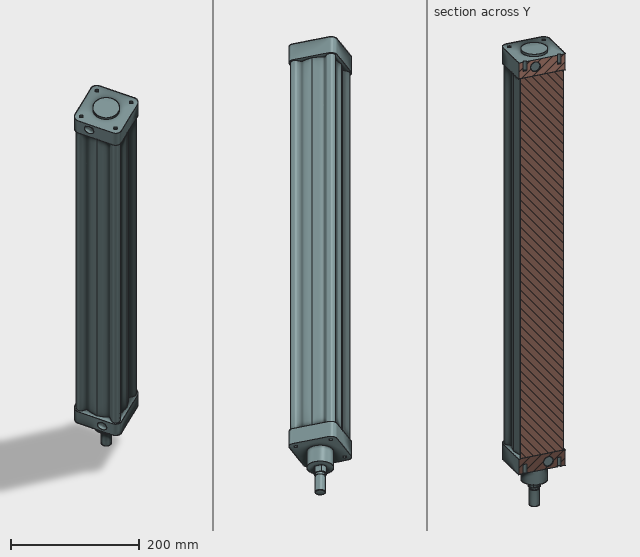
import cadquery as cq
import math


rod_shoulder = 33.0
front_boss_bottom = 44.0
front_cap_bottom = 73.0
front_cap_top = 100.0
rear_cap_bottom = 758.5
rear_cap_top = 787.0
total_length = 791.0

cap_width = 80.0
cap_corner_radius = 10.0
boss_diameter = 42.0
bolt_offset = 29.0
bolt_hole_diameter = 5.5
bolt_hole_depth = 16.0
port_diameter = 16.0
port_depth = 12.0
port_offset = 11.0
rear_port_level = 774.0
front_port_level = 85.5

web_radius = 7.3
web_offset = 30.0
ridge_half_width = 9.0
ridge_foot_height = 33.0
ridge_rise = 2.0
side_half_width = 19.0
side_arc_radius = 24.5
web_fillet = 2.0

rod_diameter = 20.0
wrench_width = 17.0
thread_diameter = 17.0
thread_chamfer = 1.0
neck_diameter = thread_diameter - 2 * thread_chamfer
neck_length = 4.0


def cylinder(diameter, bottom, top):
    return cq.Workplane("XY", origin=(0, 0, bottom)).circle(diameter / 2).extrude(top - bottom)


def at_square_corners(offset, level):
    """Put the four corners of a centred square on the stack."""
    plane = cq.Workplane("XY", origin=(0, 0, level))
    return plane.rect(2 * offset, 2 * offset, forConstruction=True).vertices()


def cap_block(bottom, top):
    block = cq.Workplane("XY", origin=(0, 0, bottom)).rect(cap_width, cap_width).extrude(top - bottom)
    return block.edges("|Z").fillet(cap_corner_radius)


def bolt_holes(bottom):
    return at_square_corners(bolt_offset, bottom).circle(bolt_hole_diameter / 2).extrude(bolt_hole_depth)


def port(x, level):
    """Blind air port entering the -Y face of a cap."""
    face = cq.Workplane("XZ", origin=(x, -cap_width / 2, level))
    return face.circle(port_diameter / 2).extrude(-port_depth)


def make_rear_cap():
    cap = cap_block(rear_cap_bottom, rear_cap_top)
    cap = cap.union(cylinder(boss_diameter, rear_cap_top, total_length))
    cap = cap.cut(bolt_holes(rear_cap_top - bolt_hole_depth))
    return cap.cut(port(-port_offset, rear_port_level))


def make_front_cap():
    cap = cap_block(front_cap_bottom, front_cap_top)
    cap = cap.union(cylinder(boss_diameter, front_boss_bottom, front_cap_bottom))
    cap = cap.cut(bolt_holes(front_cap_bottom))
    return cap.cut(port(port_offset, front_port_level))


def turned(point, quarter_turns):
    """Turn a point about the origin by a number of quarter turns."""
    x, y = point
    angle = math.radians(90 * quarter_turns)
    return (x * math.cos(angle) - y * math.sin(angle), x * math.sin(angle) + y * math.cos(angle))


def is_web_junction(edge):
    """True for an upright edge where a web leaves one of the sides."""
    center = edge.Center()
    return math.isclose(min(abs(center.x), abs(center.y)), side_half_width, abs_tol=0.1)


def make_barrel():
    tangent_shift = web_radius * math.sqrt(0.5)
    web_near = web_offset - tangent_shift
    web_far = web_offset + tangent_shift
    side_end_height = side_half_width + 2 * tangent_shift

    side_start = (-side_half_width, -side_end_height)
    ridge_start = (-ridge_half_width, -ridge_foot_height)
    ridge_crest = (0, -ridge_foot_height - ridge_rise)
    ridge_end = (ridge_half_width, -ridge_foot_height)
    side_end = (side_half_width, -side_end_height)
    web_start = (web_near, -web_far)
    web_tip = (web_far, -web_far)
    web_end = (web_far, -web_near)

    outline = cq.Workplane("XY", origin=(0, 0, front_cap_top)).moveTo(*side_start)
    for turn in range(4):
        if turn > 0:
            outline = outline.lineTo(*turned(side_start, turn))
        outline = outline.radiusArc(turned(ridge_start, turn), -side_arc_radius)
        outline = outline.lineTo(*turned(ridge_crest, turn))
        outline = outline.lineTo(*turned(ridge_end, turn))
        outline = outline.radiusArc(turned(side_end, turn), -side_arc_radius)
        outline = outline.lineTo(*turned(web_start, turn))
        outline = outline.threePointArc(turned(web_tip, turn), turned(web_end, turn))
    barrel_bar = outline.close().extrude(rear_cap_bottom - front_cap_top)
    return barrel_bar.edges("|Z").filter(is_web_junction).fillet(web_fillet)


def make_rod():
    shank = cylinder(rod_diameter, rod_shoulder, front_boss_bottom)
    flats = cq.Workplane("XY", origin=(0, 0, rod_shoulder)).rect(rod_diameter, wrench_width)
    shank = shank.intersect(flats.extrude(front_boss_bottom - rod_shoulder))

    neck_bottom = rod_shoulder - neck_length
    neck = cylinder(neck_diameter, neck_bottom, rod_shoulder)
    thread = cylinder(thread_diameter, 0, neck_bottom).faces("<Z or >Z").chamfer(thread_chamfer)
    return shank.union(neck).union(thread)


rear_cap = make_rear_cap()
barrel = make_barrel()
front_cap = make_front_cap()
rod = make_rod()

bodies = [rear_cap, barrel, front_cap, rod]
result = cq.Compound.makeCompound([body.solids().val() for body in bodies])